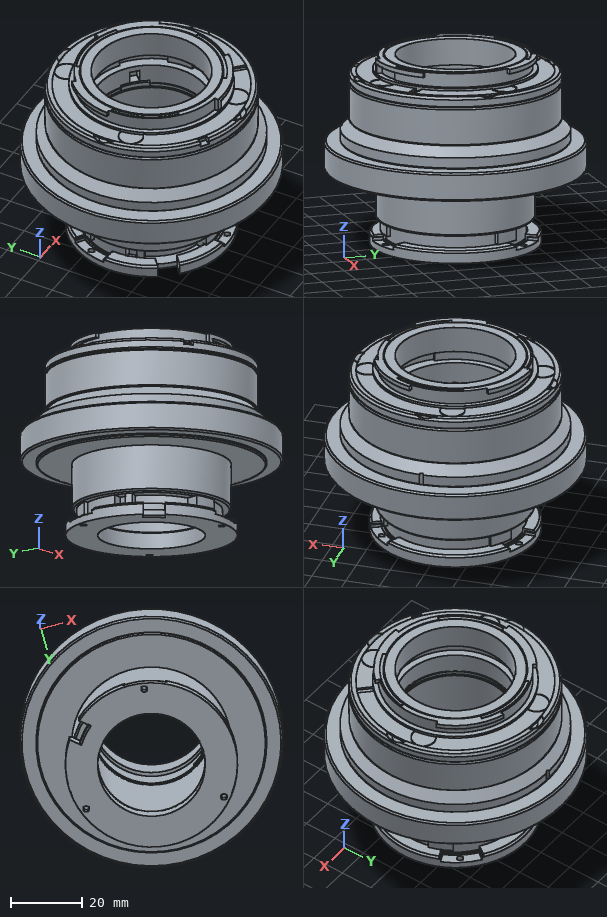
import cadquery as cq
import math

GRIP_RADIUS = 37.0
TOTAL_HEIGHT = 54.7
BARREL_RADIUS = 40.0 / 2
BORE_RADIUS = 34.0 / 2
HOUSING_RADIUS = 44.9 / 2
BODY_RADIUS = 60.0 / 2
SHOULDER_RADIUS = 32.5
EDGE_CHAMFER = 0.5

BASE_FLOOR_Z = 2.1
HOUSING_BOTTOM_Z = 7.4
LIP_BOTTOM_Z = 20.6
GRIP_BOTTOM_Z = 21.4
GRIP_TOP_Z = 29.6
CONE_TOP_Z = 35.75
COLLAR_BOTTOM_Z = 46.8
COLLAR_TOP_Z = 49.9
BARREL_TOP_Z = 43.5


def revolved(points, start=0.0, sweep=360.0):
    """Turn a closed (radius, height) outline about Z, from azimuth start through sweep degrees."""
    profile = cq.Workplane("XZ").polyline(points).close()
    return profile.revolve(sweep, (0, 0), (0, 1)).rotate((0, 0, 0), (0, 0, 1), start)


def ring(inner, outer, bottom, top, start=0.0, end=360.0):
    """Plain ring, or the part of it between the azimuths start and end."""
    outline = [(inner, bottom), (outer, bottom), (outer, top), (inner, top)]
    return revolved(outline, start, end - start)


def radial_block(inner, outer, width, bottom, top, azimuth):
    """Straight block that points outwards at the given azimuth."""
    block = cq.Workplane("XY").box(outer - inner, width, top - bottom, centered=(False, True, False))
    return block.translate((inner, 0, bottom)).rotate((0, 0, 0), (0, 0, 1), azimuth)


def polar(radius, azimuth, height):
    angle = math.radians(azimuth)
    return (radius * math.cos(angle), radius * math.sin(angle), height)


BASE_RADIUS = 48.5 / 2
BASE_TOP_Z = 3.6
BASE_CHAMFER = 0.6
BASE_BORE_RADIUS = 30.3 / 2
BASE_BORE_CHAMFER = 0.33
NECK_TOP_Z = 4.9
NECK_RADIUS = 35.0 / 2
RIM_INNER_RADIUS = 40.6 / 2
RECESS_STARTS = (25.5, 145.5, 265.5)
RECESS_SWEEP = 30.5
RECESS_SLOPE_SWEEP = 1.2
RECESS_LOWER_WALL = 0.9
GUTTER_DEPTH = 0.15
BASE_HOLE_DIAMETER = 1.8
BASE_HOLE_RADIUS = 22.5
BASE_HOLE_AZIMUTHS = (40.0, 160.0, 280.0)
KEYWAY_WIDTH = 6.2
KEYWAY_AZIMUTH = 220.5
KEYWAY_ROOT_RADIUS = 21.1
KEYWAY_UNDERCUT = 0.5


def make_base_ring():
    base = revolved([
        (BASE_BORE_RADIUS, 0),
        (BASE_RADIUS, 0),
        (BASE_RADIUS, BASE_TOP_Z - BASE_CHAMFER),
        (BASE_RADIUS - BASE_CHAMFER, BASE_TOP_Z),
        (RIM_INNER_RADIUS, BASE_TOP_Z),
        (RIM_INNER_RADIUS, BASE_FLOOR_Z),
        (NECK_RADIUS, BASE_FLOOR_Z),
        (NECK_RADIUS, NECK_TOP_Z),
        (BASE_BORE_RADIUS + BASE_BORE_CHAMFER, NECK_TOP_Z),
        (BASE_BORE_RADIUS, NECK_TOP_Z - BASE_BORE_CHAMFER),
    ])
    slope_z = BASE_FLOOR_Z + RECESS_LOWER_WALL
    for start in RECESS_STARTS:
        end = start + RECESS_SWEEP
        low_start = start + RECESS_SLOPE_SWEEP
        low_end = end - RECESS_SLOPE_SWEEP
        base = base.cut(ring(RIM_INNER_RADIUS, GRIP_RADIUS, BASE_FLOOR_Z, slope_z, low_start, low_end))
        gutter = ring(RIM_INNER_RADIUS, KEYWAY_ROOT_RADIUS, BASE_FLOOR_Z - GUTTER_DEPTH, slope_z, start, end)
        base = base.cut(gutter)
        base = base.cut(ring(RIM_INNER_RADIUS, GRIP_RADIUS, slope_z, NECK_TOP_Z, start, end))
    for azimuth in BASE_HOLE_AZIMUTHS:
        hole = cq.Workplane("XY").circle(BASE_HOLE_DIAMETER / 2).extrude(BASE_TOP_Z)
        base = base.cut(hole.translate(polar(BASE_HOLE_RADIUS, azimuth, 0)))
    keyway = radial_block(NECK_RADIUS, GRIP_RADIUS, KEYWAY_WIDTH, 0, BASE_TOP_Z, KEYWAY_AZIMUTH)
    root = revolved([
        (BASE_BORE_RADIUS, 0),
        (KEYWAY_ROOT_RADIUS - KEYWAY_UNDERCUT, 0),
        (KEYWAY_ROOT_RADIUS, KEYWAY_UNDERCUT),
        (KEYWAY_ROOT_RADIUS, BASE_FLOOR_Z),
        (BASE_BORE_RADIUS, BASE_FLOOR_Z),
    ])
    return base.cut(keyway.cut(root))


RELIEF_RADIUS = 34.55 / 2
RELIEF_TOP_Z = 37.1
RELIEF_BOTTOM_Z = 35.5
KEY_AZIMUTH = 45.0
KEY_SLOT_WIDTH = 2.9
KEY_SLOT_BOTTOM_Z = 38.0
KEY_SLOT_TOP_Z = 41.7
KEY_SLOT_ROOT_RADIUS = 19.8
PAD_WIDTH = 8.4
PAD_INNER_RADIUS = 16.65
PAD_BOTTOM_Z = 36.2
LUG_RADIUS = 21.2
LUG_BOTTOM_Z = 3.8
LUG_STARTS = (15.4, 135.4, 255.4)
LUG_SWEEP = 19.6
WINDOW_SPANS = ((187.6, 197.0), (203.0, 255.4))


def make_barrel():
    relief_depth = RELIEF_RADIUS - BORE_RADIUS
    barrel = revolved([
        (NECK_RADIUS, BASE_FLOOR_Z),
        (BARREL_RADIUS, BASE_FLOOR_Z),
        (BARREL_RADIUS, BARREL_TOP_Z),
        (BORE_RADIUS, BARREL_TOP_Z),
        (BORE_RADIUS, RELIEF_TOP_Z),
        (RELIEF_RADIUS, RELIEF_TOP_Z),
        (RELIEF_RADIUS, RELIEF_BOTTOM_Z + relief_depth),
        (BORE_RADIUS, RELIEF_BOTTOM_Z),
        (BORE_RADIUS, NECK_TOP_Z),
        (NECK_RADIUS, NECK_TOP_Z),
    ])
    for start in LUG_STARTS:
        lug = ring(NECK_RADIUS, LUG_RADIUS, LUG_BOTTOM_Z, HOUSING_BOTTOM_Z, start, start + LUG_SWEEP)
        barrel = barrel.union(lug)
    for start, end in WINDOW_SPANS:
        barrel = barrel.cut(ring(BORE_RADIUS, GRIP_RADIUS, BASE_FLOOR_Z, HOUSING_BOTTOM_Z, start, end))
    slot = radial_block(
        BASE_BORE_RADIUS, KEY_SLOT_ROOT_RADIUS, KEY_SLOT_WIDTH, KEY_SLOT_BOTTOM_Z, KEY_SLOT_TOP_Z, KEY_AZIMUTH
    )
    return barrel.cut(slot).union(make_bore_pad())


def make_bore_pad():
    """Low pad with a sloped top, below the key slot."""
    rise = BORE_RADIUS - PAD_INNER_RADIUS
    pad_ring = revolved([
        (PAD_INNER_RADIUS, PAD_BOTTOM_Z),
        (BARREL_RADIUS, PAD_BOTTOM_Z),
        (BARREL_RADIUS, KEY_SLOT_BOTTOM_Z),
        (BORE_RADIUS, KEY_SLOT_BOTTOM_Z),
        (PAD_INNER_RADIUS, KEY_SLOT_BOTTOM_Z - rise),
    ])
    limit = radial_block(0, GRIP_RADIUS, PAD_WIDTH, 0, TOTAL_HEIGHT, KEY_AZIMUTH)
    return pad_ring.intersect(limit)


def make_housing():
    lip_height = GRIP_BOTTOM_Z - LIP_BOTTOM_Z
    return revolved([
        (BARREL_RADIUS, HOUSING_BOTTOM_Z),
        (HOUSING_RADIUS - EDGE_CHAMFER, HOUSING_BOTTOM_Z),
        (HOUSING_RADIUS, HOUSING_BOTTOM_Z + EDGE_CHAMFER),
        (HOUSING_RADIUS, LIP_BOTTOM_Z),
        (SHOULDER_RADIUS - lip_height / 2, LIP_BOTTOM_Z),
        (SHOULDER_RADIUS, LIP_BOTTOM_Z + lip_height / 2),
        (SHOULDER_RADIUS, GRIP_BOTTOM_Z),
        (HOUSING_RADIUS, GRIP_BOTTOM_Z),
        (HOUSING_RADIUS, COLLAR_BOTTOM_Z),
        (BARREL_RADIUS, COLLAR_BOTTOM_Z),
    ])


def make_grip_flange():
    return revolved([
        (HOUSING_RADIUS, GRIP_BOTTOM_Z),
        (GRIP_RADIUS - EDGE_CHAMFER, GRIP_BOTTOM_Z),
        (GRIP_RADIUS, GRIP_BOTTOM_Z + EDGE_CHAMFER),
        (GRIP_RADIUS, GRIP_TOP_Z - EDGE_CHAMFER),
        (GRIP_RADIUS - EDGE_CHAMFER, GRIP_TOP_Z),
        (HOUSING_RADIUS, GRIP_TOP_Z),
    ])


CONE_TOP_RADIUS = 29.7
RING_CHAMFER = 0.4
INDEX_GROOVE_RADIUS = 0.7
INDEX_GROOVE_DEPTH = 0.4


def make_cone_ring():
    cone_height = SHOULDER_RADIUS - CONE_TOP_RADIUS
    cone_ring = revolved([
        (HOUSING_RADIUS, GRIP_TOP_Z),
        (SHOULDER_RADIUS - RING_CHAMFER, GRIP_TOP_Z),
        (SHOULDER_RADIUS, GRIP_TOP_Z + RING_CHAMFER),
        (SHOULDER_RADIUS, CONE_TOP_Z - cone_height),
        (CONE_TOP_RADIUS, CONE_TOP_Z),
        (HOUSING_RADIUS, CONE_TOP_Z),
    ])
    groove = cq.Workplane("XY").circle(INDEX_GROOVE_RADIUS).extrude(TOTAL_HEIGHT)
    groove_center = SHOULDER_RADIUS + INDEX_GROOVE_RADIUS - INDEX_GROOVE_DEPTH
    return cone_ring.cut(groove.translate((0, groove_center, 0)))


def make_focus_ring():
    return revolved([
        (HOUSING_RADIUS, CONE_TOP_Z),
        (BODY_RADIUS - RING_CHAMFER, CONE_TOP_Z),
        (BODY_RADIUS, CONE_TOP_Z + RING_CHAMFER),
        (BODY_RADIUS, COLLAR_BOTTOM_Z - EDGE_CHAMFER),
        (BODY_RADIUS - EDGE_CHAMFER, COLLAR_BOTTOM_Z),
        (HOUSING_RADIUS, COLLAR_BOTTOM_Z),
    ])


DISC_RADIUS = 56.0 / 2
DISC_BOTTOM_Z = 49.35
COLLAR_TOP_CHAMFER_WIDTH = 0.6
COLLAR_TOP_CHAMFER_HEIGHT = 0.75
COUNTERSINK_AZIMUTHS = (0, 90, 180, 270)
COUNTERSINK_CENTER = 26.4
COUNTERSINK_RADIUS = 7.0 / 2
COUNTERSINK_BOTTOM_RADIUS = 2.0
COUNTERSINK_CONE_TOP_Z = 49.7
NOTCH_AZIMUTH = 239.0
NOTCH_WIDTH = 2.75
NOTCH_BOTTOM_Z = 48.3


def make_collar():
    collar = revolved([
        (BARREL_RADIUS, COLLAR_BOTTOM_Z),
        (BODY_RADIUS - RING_CHAMFER, COLLAR_BOTTOM_Z),
        (BODY_RADIUS, COLLAR_BOTTOM_Z + RING_CHAMFER),
        (BODY_RADIUS, COLLAR_TOP_Z - COLLAR_TOP_CHAMFER_HEIGHT),
        (BODY_RADIUS - COLLAR_TOP_CHAMFER_WIDTH, COLLAR_TOP_Z),
        (DISC_RADIUS, COLLAR_TOP_Z),
        (DISC_RADIUS, DISC_BOTTOM_Z),
        (BARREL_RADIUS, DISC_BOTTOM_Z),
    ])
    countersink_bottom_z = COUNTERSINK_CONE_TOP_Z - (COUNTERSINK_RADIUS - COUNTERSINK_BOTTOM_RADIUS)
    countersink = revolved([
        (0, countersink_bottom_z),
        (COUNTERSINK_BOTTOM_RADIUS, countersink_bottom_z),
        (COUNTERSINK_RADIUS, COUNTERSINK_CONE_TOP_Z),
        (COUNTERSINK_RADIUS, COLLAR_TOP_Z),
        (0, COLLAR_TOP_Z),
    ])
    for azimuth in COUNTERSINK_AZIMUTHS:
        collar = collar.cut(countersink.translate(polar(COUNTERSINK_CENTER, azimuth, 0)))
    notch = radial_block(DISC_RADIUS, GRIP_RADIUS, NOTCH_WIDTH, NOTCH_BOTTOM_Z, COLLAR_TOP_Z, NOTCH_AZIMUTH)
    return collar.cut(notch)


DISC_INNER_RADIUS = 23.3
DISC_TOP_Z = 50.0
DISC_BEVEL_WIDTH = 0.48
POCKET_AZIMUTHS = (15.2, 105.2, 195.2, 285.2)
POCKET_CENTER = 24.6
POCKET_RADIUS = 7.0 / 2
POCKET_DEPTH = 0.15
DISC_SLOT_WIDTH = 1.8
DISC_SLOT_AZIMUTH = 315.0


def make_cover_disc():
    disc = revolved([
        (DISC_INNER_RADIUS, DISC_BOTTOM_Z),
        (DISC_RADIUS, DISC_BOTTOM_Z),
        (DISC_RADIUS, COLLAR_TOP_Z),
        (DISC_RADIUS - DISC_BEVEL_WIDTH, DISC_TOP_Z),
        (DISC_INNER_RADIUS, DISC_TOP_Z),
    ])
    for azimuth in POCKET_AZIMUTHS:
        pocket = cq.Workplane("XY").circle(POCKET_RADIUS).extrude(POCKET_DEPTH)
        disc = disc.cut(pocket.translate(polar(POCKET_CENTER, azimuth, DISC_TOP_Z - POCKET_DEPTH)))
    slot = radial_block(
        BARREL_RADIUS, GRIP_RADIUS, DISC_SLOT_WIDTH, DISC_BOTTOM_Z, DISC_TOP_Z, DISC_SLOT_AZIMUTH
    )
    return disc.cut(slot)


BAYONET_BORE_RADIUS = 40.6 / 2
BAYONET_RADIUS = 21.8
FLANGE_TOP_Z = 50.7
TAB_RADIUS = 23.0
TAB_BOTTOM_Z = 53.35
TAB_ROOT_RADIUS = 20.9
TAB_SPANS = ((23.0, 72.8), (131.0, 175.5), (263.5, 318.0))
STOP_SPAN = (263.5, 267.4)
POCKET_SPAN = (267.4, 289.5)
POCKET_WALL_RADIUS = 21.45
GROOVE_RADIUS = 21.3
GROOVE_DEPTH = 0.15
GROOVE_SPANS = ((57.0, 113.0), (177.0, 230.0), (290.0, 351.0))


def make_bayonet_ring():
    bayonet = ring(BAYONET_BORE_RADIUS, BAYONET_RADIUS, DISC_BOTTOM_Z, TOTAL_HEIGHT)
    bayonet = bayonet.union(ring(BAYONET_BORE_RADIUS, DISC_INNER_RADIUS, DISC_BOTTOM_Z, FLANGE_TOP_Z))
    for start, end in TAB_SPANS:
        tab = ring(TAB_ROOT_RADIUS, TAB_RADIUS, TAB_BOTTOM_Z, TOTAL_HEIGHT, start, end)
        bayonet = bayonet.union(tab)
    bayonet = bayonet.union(ring(TAB_ROOT_RADIUS, TAB_RADIUS, DISC_BOTTOM_Z, TOTAL_HEIGHT, *STOP_SPAN))
    bayonet = bayonet.cut(ring(POCKET_WALL_RADIUS, GRIP_RADIUS, FLANGE_TOP_Z, TAB_BOTTOM_Z, *POCKET_SPAN))
    for start, end in GROOVE_SPANS:
        groove = ring(BARREL_RADIUS, GROOVE_RADIUS, TOTAL_HEIGHT - GROOVE_DEPTH, TOTAL_HEIGHT, start, end)
        bayonet = bayonet.cut(groove)
    return bayonet


SKIRT_TOP_Z = 47.1
SKIRT_INNER_RADIUS = 19.0
SKIRT_NOTCH_SPANS = ((-55.0, -8.0), (15.0, 57.0), (92.0, 140.0))


def make_upper_tube():
    tube = ring(BORE_RADIUS, BARREL_RADIUS, SKIRT_TOP_Z, TOTAL_HEIGHT)
    tube = tube.union(ring(SKIRT_INNER_RADIUS, BARREL_RADIUS, BARREL_TOP_Z, SKIRT_TOP_Z))
    for start, end in SKIRT_NOTCH_SPANS:
        tube = tube.cut(ring(SKIRT_INNER_RADIUS, BARREL_RADIUS, BARREL_TOP_Z, SKIRT_TOP_Z, start, end))
    return tube


base_ring = make_base_ring()
barrel = make_barrel()
housing = make_housing()
grip_flange = make_grip_flange()
cone_ring = make_cone_ring()
focus_ring = make_focus_ring()
collar = make_collar()
cover_disc = make_cover_disc()
bayonet_ring = make_bayonet_ring()
upper_tube = make_upper_tube()

result = cq.Compound.makeCompound([
    base_ring.val(),
    barrel.val(),
    housing.val(),
    grip_flange.val(),
    cone_ring.val(),
    focus_ring.val(),
    collar.val(),
    cover_disc.val(),
    bayonet_ring.val(),
    upper_tube.val(),
])